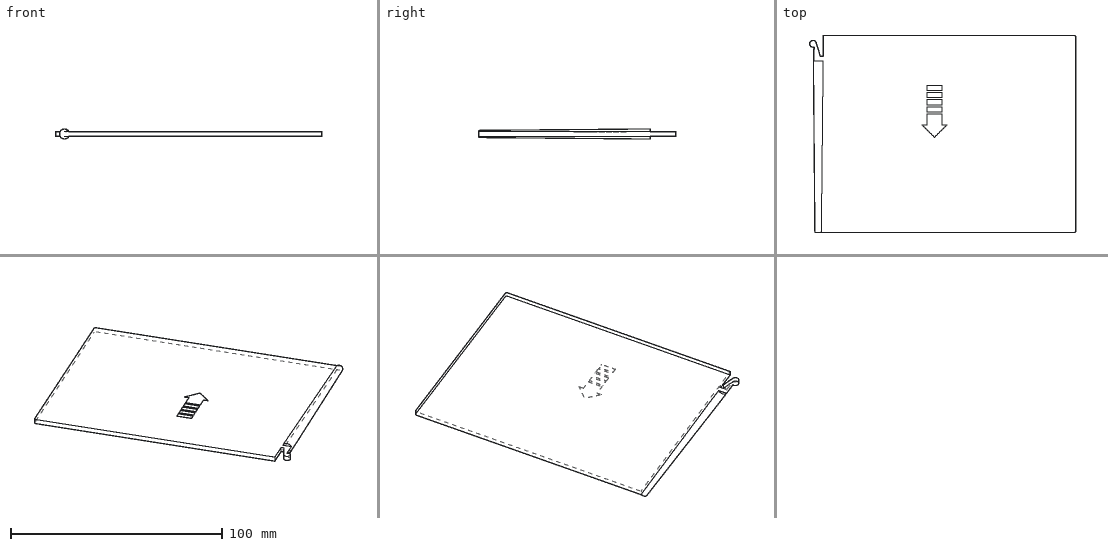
import cadquery as cq

LENGTH_X = 126.1
WIDTH_Y = 93.5
PLATE_THICKNESS = 2.3
PLATE_TOP = PLATE_THICKNESS / 2
PLATE_LEFT = 6.4
PLATE_CORNER_RADIUS = 0.9

PIN_RADIUS = 2.4
PIN_OVERLAP = 0.19
PIN_X = PLATE_LEFT + PIN_OVERLAP - PIN_RADIUS
PIN_TIP_RADIUS = 1.8
PIN_TIP_FILLET = 0.6
TAPER_START_Y = 73.5
PIN_TOP_Y = 81.3

WEB_TOP_Y = 83.6

HEAD_RADIUS = 1.6
HEAD_X = HEAD_RADIUS
HEAD_Y = 89.4
NECK_LEFT = 2.1
NECK_RIGHT = 5.0
NECK_MIDDLE = (4.4, 86.0)
ROUNDED_SIDE_TOP_Y = 86.9

ENGRAVING_DEPTH = 0.1
ARROW_X = 59.1
ARROW_TIP_Y = 45.1
ARROW_HEAD_LENGTH = 5.9
ARROW_HEAD_WIDTH = 11.9
ARROW_SHAFT_LENGTH = 5.0
ARROW_SHAFT_WIDTH = 7.3
BAR_COUNT = 4
BAR_HEIGHT = 2.4
BAR_PITCH = 3.4


def lower_face():
    """Workplane on the lower face of the plate."""
    return cq.Workplane("XY", origin=(0, 0, -PLATE_TOP))


def flat_box(left, bottom, right, top):
    """Box as thick as the plate between two opposite corners."""
    size_x = right - left
    size_y = top - bottom
    return lower_face().move(left, bottom).rect(size_x, size_y, centered=False).extrude(PLATE_THICKNESS)


def make_plate():
    plate = flat_box(PLATE_LEFT, 0, LENGTH_X, WIDTH_Y)
    return plate.edges("|Z and >X").fillet(PLATE_CORNER_RADIUS)


def make_web():
    return flat_box(PIN_X, 0, PLATE_LEFT, WEB_TOP_Y)


def make_pin():
    """Straight cylinder that tapers towards its rounded lower end."""
    half_profile = (
        cq.Workplane("YZ", origin=(PIN_X, 0, 0))
        .lineTo(0, PIN_TIP_RADIUS)
        .lineTo(TAPER_START_Y, PIN_RADIUS)
        .lineTo(PIN_TOP_Y, PIN_RADIUS)
        .lineTo(PIN_TOP_Y, 0)
        .close()
    )
    pin = half_profile.revolve(360, (0, 0, 0), (1, 0, 0))
    return pin.faces("<Y").edges().fillet(PIN_TIP_FILLET)


def make_hook():
    """Round head and neck; the lower part of the neck's outer side continues the pin surface."""
    head = lower_face().center(HEAD_X, HEAD_Y).circle(HEAD_RADIUS).extrude(PLATE_THICKNESS)
    neck = (
        lower_face()
        .moveTo(NECK_LEFT, PIN_TOP_Y)
        .lineTo(NECK_RIGHT, PIN_TOP_Y)
        .lineTo(NECK_RIGHT, WEB_TOP_Y)
        .threePointArc(NECK_MIDDLE, (HEAD_X + HEAD_RADIUS, HEAD_Y))
        .lineTo(NECK_LEFT, HEAD_Y)
        .close()
        .extrude(PLATE_THICKNESS)
    )
    pin_extension = (
        cq.Workplane("XZ", origin=(PIN_X, PIN_TOP_Y, 0))
        .circle(PIN_RADIUS)
        .extrude(PIN_TOP_Y - ROUNDED_SIDE_TOP_Y)
    )
    side_blank = flat_box(PIN_X - PIN_RADIUS, PIN_TOP_Y, (NECK_LEFT + PIN_X) / 2, ROUNDED_SIDE_TOP_Y)
    rounded_side = pin_extension.intersect(side_blank)
    return head.union(neck).union(rounded_side)


def make_arrow():
    """Cutter for the arrow, pointing towards -Y."""
    head_y = ARROW_TIP_Y + ARROW_HEAD_LENGTH
    shaft_top = head_y + ARROW_SHAFT_LENGTH
    half_shaft = ARROW_SHAFT_WIDTH / 2
    half_head = ARROW_HEAD_WIDTH / 2
    floor = cq.Workplane("XY", origin=(ARROW_X, 0, PLATE_TOP - ENGRAVING_DEPTH))
    arrow = (
        floor.moveTo(0, ARROW_TIP_Y)
        .lineTo(half_head, head_y)
        .lineTo(half_shaft, head_y)
        .lineTo(half_shaft, shaft_top)
        .lineTo(-half_shaft, shaft_top)
        .lineTo(-half_shaft, head_y)
        .lineTo(-half_head, head_y)
        .close()
        .extrude(ENGRAVING_DEPTH)
    )
    for index in range(1, BAR_COUNT + 1):
        bar_y = shaft_top + index * BAR_PITCH - BAR_HEIGHT / 2
        bar = floor.center(0, bar_y).rect(ARROW_SHAFT_WIDTH, BAR_HEIGHT).extrude(ENGRAVING_DEPTH)
        arrow = arrow.union(bar)
    return arrow


body = make_plate().union(make_web()).union(make_pin()).union(make_hook())
result = body.cut(make_arrow())